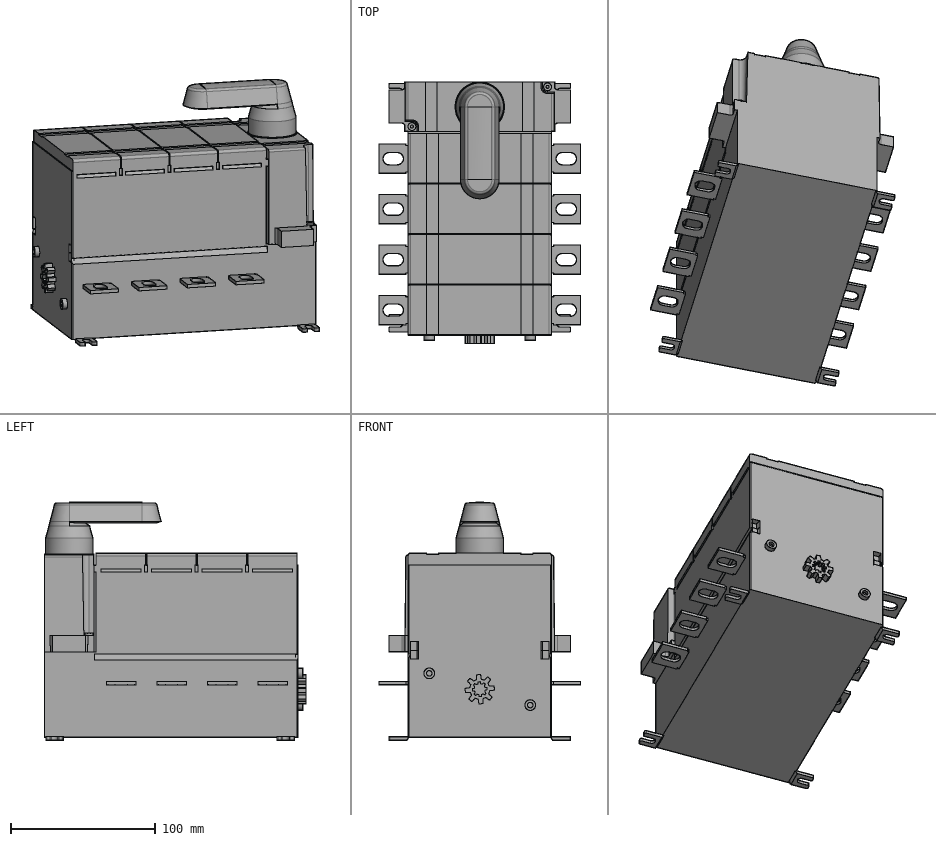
import cadquery as cq
import math


half_width = 49.9
body_length = 175.9
body_bottom = 2.0
body_top = 121.4
corner_chamfer = 0.8

box_length = 34.3
box_bottom = 61.3
box_top = 128.4
box_half_base = 52.0
box_half_top = 51.3
box_edge_radius = 1.5
draft_angle = 1.0

pole_count = 4
pole_pitch = 35.0
poles_start = 35.7
cover_top = 129.8
cover_front = 175.1
cover_edge_radius = 2.0
cover_gap = 0.8
cover_gap_offset = -0.2
gap_window_width = 2.2
gap_window_bottom = 116.5
gap_window_depth = 1.0
band_depth = 0.8
cover_band = (28.5, 36.8)
box_band = (29.8, 37.6)

latch_length = 27.8
latch_bottom = 116.5
latch_top = 118.9
latch_depth = 1.0

seam_depth = 1.0

ledge_bottom = 55.5
ledge_top = 59.7
ledge_depth = 2.0
ledge_start = 34.8
pocket_bottom = 56.5
pocket_step = 62.2
pocket_top = 68.4
pocket_inner = 42.5
pocket_floor_inner = 43.5
pocket_outer = 48.0
pocket_shallow = 2.0
pocket_deep = 4.0

notch_floor = 72.8
notch_radius = 3.6
notch_screw_x = 47.0
notch_screw_inset = 3.4
notch_screw_radius = 2.7
notch_screw_height = 1.5
notch_socket_radius = 1.0

ear_reach = 63.0
ear_rear = 5.4
ear_front = 28.6
ear_fillet = 2.2
ear_embed = 0.2

terminal_reach = 70.0
terminal_width = 20.4
terminal_bottom = 38.4
terminal_thickness = 2.4
terminal_shoulder = 51.3
terminal_neck_width = 18.6
terminal_hole_x = 60.0
terminal_hole_length = 14.0
terminal_hole_width = 8.4

foot_reach = 63.0
foot_inner = 49.0
foot_bend = 50.6
foot_thickness = 2.5
foot_width = 12.2
foot_slot_width = 5.0
foot_slot_end_x = 55.7
foot_tip_radius = 0.9
foot_centers = (7.0, 167.3)

shaft_y = -17.2
collar_radius = 17.1
collar_height = 0.6
hub_radius = 16.5
hub_top = 140.1
cone_top = 148.6
cone_top_radius = 14.2
arm_length = 50.4
arm_floor = 150.5
arm_edge = 151.8
arm_crest = 164.6
handle_top = 165.09
arm_edge_radius = 13.4
arm_crest_radius = 10.05
arm_floor_radius = 10.0
arm_top_fillet = 2.0
crown_half_width = 8.1

gear_z = 35.4
gear_front = 181.35
gear_teeth = 8
gear_phase = 4.5
tooth_root_share = 0.3
tooth_tip_share = 0.17
gear_tip_radius = 10.2
gear_root_radius = 7.0
spline_outer_radius = 5.2
spline_inner_radius = 3.9
spline_depth = 4.0
front_screws = ((-35.0, 46.4), (35.0, 24.4))
front_screw_radius = 3.7
front_screw_front = 179.2
front_socket_radius = 1.9
front_socket_depth = 2.0

CLEAR = 20.0
OVERLAP = 1.0


def block(x_range, depth_range, z_range):
    """Box between two X values, two distances from the rear face and two heights."""
    x0, x1 = sorted(x_range)
    d0, d1 = depth_range
    z0, z1 = z_range
    return cq.Workplane("XY").box(x1 - x0, d1 - d0, z1 - z0, centered=False).translate((x0, -d1, z0))


def along_length(points, d0, d1):
    """Extrude an X-Z outline from distance d0 to distance d1 behind the rear face."""
    return cq.Workplane("XZ", origin=(0, -d0, 0)).polyline(points).close().extrude(d1 - d0)


def mirrored(shape):
    return shape.union(shape.mirror("YZ"))


def pole_center(index):
    return poles_start + pole_pitch * (index + 0.5)


def make_housing():
    body = block((-half_width, half_width), (0, body_length), (body_bottom, body_top))
    body = body.edges("|Z and <Y").chamfer(corner_chamfer)
    covers = block((-half_width, half_width), (poles_start, cover_front), (body_top - OVERLAP, cover_top))
    covers = covers.edges("|Y and >Z").fillet(cover_edge_radius)
    return body.union(covers)


def cut_cover_details(body):
    across = (-half_width - OVERLAP, half_width + OVERLAP)
    for index in range(1, pole_count):
        d = poles_start + pole_pitch * index + cover_gap_offset
        slit = (d - cover_gap / 2, d + cover_gap / 2)
        body = body.cut(block(across, slit, (body_top, cover_top + OVERLAP)))
        window = block(
            (half_width - gap_window_depth, half_width + OVERLAP),
            (d - gap_window_width / 2, d + gap_window_width / 2),
            (gap_window_bottom, body_top),
        )
        body = body.cut(mirrored(window))
    band_heights = (cover_top - band_depth, cover_top + OVERLAP)
    band = block(cover_band, (poles_start - OVERLAP, body_length), band_heights)
    return body.cut(mirrored(band))


def cut_side_grooves(body):
    latch_profile = [
        (half_width, latch_bottom),
        (half_width - latch_depth, latch_top),
        (half_width, latch_top),
    ]
    for index in range(pole_count):
        start = pole_center(index) - latch_length / 2
        body = body.cut(mirrored(along_length(latch_profile, start, start + latch_length)))
    ledge_profile = [
        (half_width, ledge_bottom),
        (half_width - ledge_depth, ledge_top),
        (half_width, ledge_top),
    ]
    body = body.cut(mirrored(along_length(ledge_profile, ledge_start, body_length)))
    seam = block(
        (half_width - seam_depth, half_width + OVERLAP),
        (box_length, poles_start),
        (box_bottom, latch_bottom),
    )
    return body.cut(mirrored(seam))


def pocket_step_cut(depth, z_range):
    """Pocket with a slanted inner side wall, sunk into the front face."""
    z0, z1 = z_range
    outline = [
        (pocket_inner, -body_length),
        (pocket_floor_inner, -body_length + depth),
        (pocket_outer, -body_length + depth),
        (pocket_outer, -body_length),
    ]
    return cq.Workplane("XY", origin=(0, 0, z0)).polyline(outline).close().extrude(z1 - z0)


def cut_front_pockets(body):
    lower = pocket_step_cut(pocket_shallow, (pocket_bottom, pocket_step))
    upper = pocket_step_cut(pocket_deep, (pocket_step, pocket_top))
    return body.cut(mirrored(lower.union(upper)))


def make_notch():
    """Corner recess at the -X front corner, widening upward."""
    screw_y = -(box_length - notch_screw_inset)
    inner_x = -notch_screw_x + notch_radius
    rear_y = screw_y + notch_radius
    diagonal = notch_radius * math.sqrt(0.5)
    recess = (
        cq.Workplane("XY", origin=(0, 0, notch_floor))
        .moveTo(-notch_screw_x - CLEAR, rear_y)
        .lineTo(-notch_screw_x, rear_y)
        .threePointArc((-notch_screw_x + diagonal, screw_y + diagonal), (inner_x, screw_y))
        .lineTo(inner_x, screw_y - CLEAR)
        .lineTo(-notch_screw_x - CLEAR, screw_y - CLEAR)
        .close()
        .extrude(box_top - notch_floor + OVERLAP, taper=-draft_angle)
    )
    keep = block((-half_width - CLEAR, 0), (0, box_length), (notch_floor, box_top + OVERLAP))
    return recess.intersect(keep)


def make_notch_screw():
    screw_y = -(box_length - notch_screw_inset)
    return (
        cq.Workplane("XY", origin=(-notch_screw_x, screw_y, notch_floor - OVERLAP))
        .circle(notch_screw_radius)
        .circle(notch_socket_radius)
        .extrude(notch_screw_height + OVERLAP)
    )


def to_opposite_corner(shape):
    return shape.rotate((0, -box_length / 2, 0), (0, -box_length / 2, 1), 180)


def make_mechanism_box():
    outline = [
        (-box_half_base, box_bottom),
        (box_half_base, box_bottom),
        (box_half_top, box_top),
        (-box_half_top, box_top),
    ]
    box = along_length(outline, 0, box_length)
    box = box.edges("|Y and >Z").fillet(box_edge_radius)
    band = block(box_band, (-OVERLAP, box_length + OVERLAP), (box_top - band_depth, box_top + OVERLAP))
    return box.cut(mirrored(band))


def make_ear():
    root = half_width - OVERLAP
    wall = box_half_base - ear_embed
    outline = (
        cq.Workplane("XY", origin=(0, 0, box_bottom))
        .moveTo(root, -ear_rear + ear_fillet)
        .lineTo(wall, -ear_rear + ear_fillet)
        .radiusArc((wall + ear_fillet, -ear_rear), -ear_fillet)
        .lineTo(ear_reach, -ear_rear)
        .lineTo(ear_reach, -ear_front)
        .lineTo(wall + ear_fillet, -ear_front)
        .radiusArc((wall, -ear_front - ear_fillet), -ear_fillet)
        .lineTo(root, -ear_front - ear_fillet)
        .close()
    )
    return outline.extrude(notch_floor - box_bottom)


def make_terminal(index):
    d = pole_center(index)
    z_range = (terminal_bottom, terminal_bottom + terminal_thickness)
    half = terminal_width / 2
    neck = terminal_neck_width / 2
    plate = block((terminal_shoulder, terminal_reach), (d - half, d + half), z_range)
    plate = plate.union(block((half_width - OVERLAP, terminal_shoulder), (d - neck, d + neck), z_range))
    hole = (
        cq.Workplane("XY", origin=(terminal_hole_x, -d, terminal_bottom))
        .slot2D(terminal_hole_length, terminal_hole_width)
        .extrude(terminal_thickness)
    )
    return plate.cut(hole)


def make_foot(d):
    profile = [
        (foot_reach, 0),
        (foot_bend, 0),
        (foot_inner, body_bottom),
        (foot_inner, foot_thickness),
        (foot_reach, foot_thickness),
    ]
    foot = along_length(profile, d - foot_width / 2, d + foot_width / 2)
    slot_length = 2 * (foot_reach - foot_slot_end_x) + foot_slot_width
    slot = (
        cq.Workplane("XY", origin=(foot_reach, -d, 0))
        .slot2D(slot_length, foot_slot_width)
        .extrude(foot_thickness)
    )
    return foot.cut(slot).edges("|Z and >X").fillet(foot_tip_radius)


def frustum(z0, r0, z1, r1):
    profile = [(0, z0), (r0, z0), (r1, z1), (0, z1)]
    cone = cq.Workplane("XZ").polyline(profile).close().revolve(360, (0, 0), (0, 1))
    return cone.translate((0, shaft_y, 0))


def tapered_arm(z0, r0, z1, r1):
    """Round-ended bar whose end radius changes from r0 at z0 to r1 at z1."""
    height = z1 - z0
    taper = math.degrees(math.atan2(r0 - r1, abs(height)))
    return (
        cq.Workplane("XY", origin=(0, shaft_y - arm_length / 2, z0))
        .slot2D(arm_length + 2 * r0, 2 * r0, 90)
        .extrude(height, taper=taper)
    )


def make_handle():
    """Stepped hub with a tapered, slightly crowned grip arm reaching forward."""
    hub = frustum(box_top - OVERLAP, collar_radius, box_top + collar_height, collar_radius)
    hub = hub.union(frustum(box_top, hub_radius, hub_top, hub_radius))
    hub = hub.union(frustum(hub_top, hub_radius, cone_top, cone_top_radius))
    hub = hub.union(frustum(cone_top, cone_top_radius, arm_edge, arm_floor_radius))
    rear_neck = frustum(cone_top, cone_top_radius, arm_edge, arm_edge_radius)
    rear_neck = rear_neck.intersect(block((-CLEAR, CLEAR), (-CLEAR, -shaft_y), (cone_top, arm_edge)))
    arm = tapered_arm(arm_edge, arm_edge_radius, arm_crest, arm_crest_radius)
    arm = arm.faces(">Z").edges().fillet(arm_top_fillet)
    underside = tapered_arm(arm_edge, arm_edge_radius, arm_floor, arm_floor_radius)
    crown = (
        cq.Workplane("XZ", origin=(0, shaft_y, 0))
        .moveTo(-crown_half_width, arm_crest)
        .threePointArc((0, handle_top), (crown_half_width, arm_crest))
        .lineTo(crown_half_width, arm_crest - OVERLAP)
        .lineTo(-crown_half_width, arm_crest - OVERLAP)
        .close()
        .extrude(arm_length)
    )
    return hub.union(rear_neck).union(arm).union(underside).union(crown)


def toothed_outline(origin_y, root_radius, tip_radius):
    """Closed star of square teeth around the gear axis, drawn on a plane facing -Y."""
    pitch = 2 * math.pi / gear_teeth
    corners = (
        (-tooth_root_share, root_radius),
        (-tooth_tip_share, tip_radius),
        (tooth_tip_share, tip_radius),
        (tooth_root_share, root_radius),
    )
    points = []
    for tooth in range(gear_teeth):
        angle = math.radians(gear_phase) + tooth * pitch
        for share, radius in corners:
            a = angle + share * pitch
            points.append((radius * math.cos(a), radius * math.sin(a)))
    return cq.Workplane("XZ", origin=(0, origin_y, gear_z)).polyline(points).close()


def make_gear():
    back = body_length - OVERLAP
    gear = toothed_outline(-back, gear_root_radius, gear_tip_radius).extrude(gear_front - back)
    socket_floor = gear_front - spline_depth
    socket = toothed_outline(-socket_floor, spline_inner_radius, spline_outer_radius).extrude(spline_depth)
    return gear.cut(socket)


def make_front_screw(x, z):
    back = body_length - OVERLAP
    screw = cq.Workplane("XZ", origin=(x, -back, z)).circle(front_screw_radius)
    screw = screw.extrude(front_screw_front - back)
    return screw.faces("<Y").workplane().circle(front_socket_radius).cutBlind(-front_socket_depth)


def make_part():
    part = make_housing()
    part = cut_cover_details(part)
    part = cut_side_grooves(part)
    part = cut_front_pockets(part)
    part = part.union(make_mechanism_box())
    notch = make_notch()
    part = part.cut(notch).cut(to_opposite_corner(notch))
    screw = make_notch_screw()
    part = part.union(screw).union(to_opposite_corner(screw))
    part = part.union(mirrored(make_ear()))
    for index in range(pole_count):
        part = part.union(mirrored(make_terminal(index)))
    for d in foot_centers:
        part = part.union(mirrored(make_foot(d)))
    part = part.union(make_handle())
    part = part.union(make_gear())
    for x, z in front_screws:
        part = part.union(make_front_screw(x, z))
    return part


result = make_part()